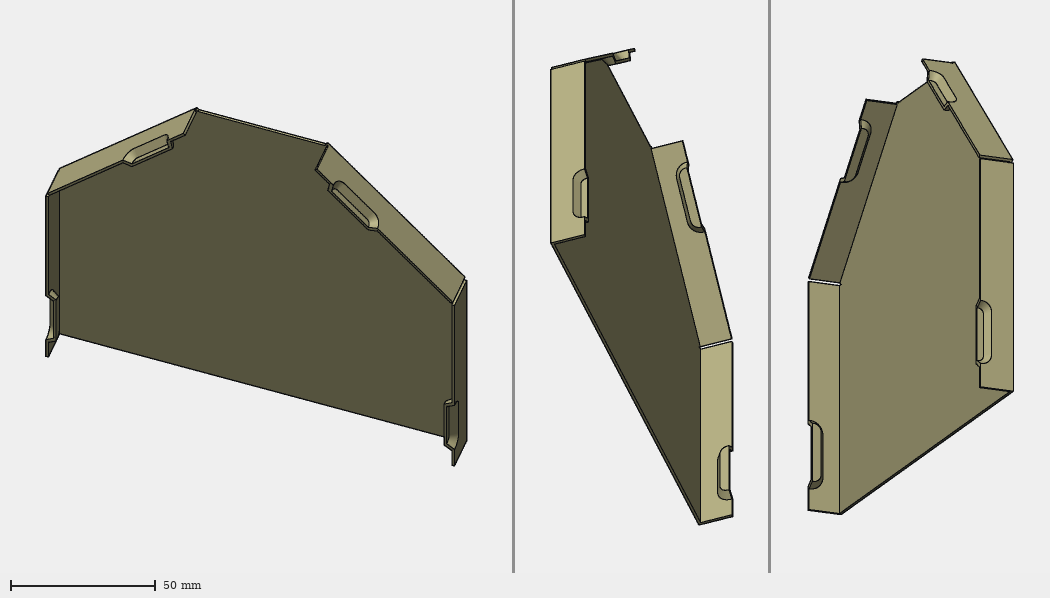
import cadquery as cq
import math

width = 150.0
depth = 12.5
height = 134.7
sheet = 1.0
half_width = width / 2

side_wall_height = 82.8
slope_sum = 158.7
slope_low_z = 84.3
end_setback = 0.8
plate_top = 134.0
slope_angle = 45.0
diagonal = math.sqrt(2)

dent_length = 22.8
dent_reach = 4.2
dent_depth = 2.8
dent_flare = 1.88
dent_corner = 3.8
dent_from_end = 20.0

slope_low_x = slope_low_z - slope_sum
slope_high_x = height - slope_sum
notch_x = slope_low_x + slope_low_z - side_wall_height
tip_x = slope_high_x + height - plate_top
flange_length = (slope_high_x - slope_low_x) * diagonal - end_setback


def back_plate():
    """Flat back with small corner notches and raised tips."""
    left_edge = [
        (-half_width, 0),
        (-half_width, side_wall_height),
        (notch_x, side_wall_height),
        (slope_low_x, slope_low_z),
        (slope_high_x, height),
        (tip_x, plate_top),
    ]
    right_edge = [(-x, z) for x, z in reversed(left_edge)]
    outline = cq.Workplane("XZ", origin=(0, depth, 0)).polyline(left_edge + right_edge).close()
    return outline.extrude(sheet)


def tapered_dent(center_z, start_x, grow):
    """Rounded, tapering block centred on the front edge and sunk toward +X."""
    taper = math.degrees(math.atan(dent_flare / dent_depth))
    return (
        cq.Workplane("YZ", origin=(start_x, 0, center_z))
        .sketch()
        .rect(2 * (dent_reach + grow), dent_length + 2 * grow)
        .vertices()
        .fillet(dent_corner + grow)
        .finalize()
        .extrude(dent_depth, taper=taper)
    )


def dented_flange(length, dent_z):
    """Upright flange with its outer face on X = 0 and a pressed dent of even wall."""
    wall = cq.Workplane("XY").box(sheet, depth, length, centered=(False, False, False))
    envelope = cq.Workplane("XY").box(
        sheet + dent_depth, depth, length, centered=(False, False, False)
    )
    bump = tapered_dent(dent_z, sheet, sheet).intersect(envelope)
    return wall.union(bump).cut(tapered_dent(dent_z, 0, 0))


side_wall = dented_flange(side_wall_height, dent_from_end).translate((-half_width, 0, 0))
slope = (
    dented_flange(flange_length, flange_length - dent_from_end)
    .rotate((0, 0, 0), (0, 1, 0), slope_angle)
    .translate((slope_low_x, 0, slope_low_z))
)

result = back_plate()
for flange in (side_wall, slope):
    result = result.union(flange).union(flange.mirror("YZ"))